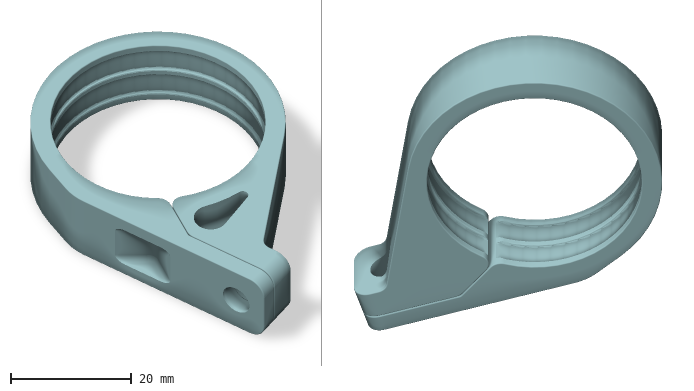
import cadquery as cq
import math

HEIGHT = 12.7
MID_HEIGHT = HEIGHT / 2

RING_RADIUS = 21.15
BORE_RADIUS = 17.8

ARM_END_X = 35.9
ARM_BOTTOM_Y = -22.3
EAR_TOP_Y = -14.25
FLANK_ANGLE = math.radians(25.6)
FLANK_BLEND_RADIUS = 2.0
HEEL_RADIUS = 10.0
EAR_CORNER_RADIUS = 2.95
SCREW_HOLE_DIAMETER = 5.25
SCREW_HOLE_INSET = 5.55
SCREW_HOLE_X = ARM_END_X - SCREW_HOLE_INSET

SLOT_GAP = 0.1
SLOT_Y = -19.2
SLOT_BEND_X = 18.9
SLOT_SLOPE = math.radians(34.0)
LOWER_BEND_RADIUS = 1.0
UPPER_BEND_RADIUS = 2.85
LOWER_LIP_RADIUS = 2.3
UPPER_LIP_RADIUS = 2.0

EDGE_RADIUS = 0.2

RIB_WIDTH = 1.25
LIP_WIDTH = 1.55
GROOVE_FILLET_RADIUS = 0.255

POCKET_DEPTH = 5.0
POCKET_FLOOR_RADIUS = 0.85
POCKET_INNER_RADIUS = 21.3
POCKET_BIG_RADIUS = 2.8
POCKET_TIP_RADIUS = 0.9
POCKET_BIG_ANGLE = math.radians(-35.2)
POCKET_TIP_ANGLE = math.radians(-17.2)

NOTCH_X = 11.75
NOTCH_WIDTH = 10.95
NOTCH_HEIGHT = 8.0
NOTCH_SLOPE = math.radians(34.5)
NOTCH_ROOT_RADIUS = 1.95
NOTCH_EDGE_RADIUS = 1.15

OVERCUT = 2.85


def on_circle(radius, angle, center=(0, 0)):
    """Point on a circle at an angle from +X."""
    return (center[0] + radius * math.cos(angle), center[1] + radius * math.sin(angle))


def make_blank():
    """Ring and arm as one plate, before the bore and the slot."""
    heel_center = (0, ARM_BOTTOM_Y + HEEL_RADIUS)
    heel_turn = math.acos((RING_RADIUS - HEEL_RADIUS) / -heel_center[1])
    heel_angle = -math.pi / 2 - heel_turn
    heel_mid_angle = -math.pi / 2 - heel_turn / 2
    flank_start = on_circle(RING_RADIUS, FLANK_ANGLE)
    flank_end_x = (RING_RADIUS - EAR_TOP_Y * math.sin(FLANK_ANGLE)) / math.cos(FLANK_ANGLE)
    blank = (
        cq.Workplane("XY")
        .moveTo(*flank_start)
        .threePointArc((-RING_RADIUS, 0), on_circle(RING_RADIUS, heel_angle))
        .lineTo(*on_circle(HEEL_RADIUS, heel_angle, heel_center))
        .threePointArc(on_circle(HEEL_RADIUS, heel_mid_angle, heel_center), (0, ARM_BOTTOM_Y))
        .lineTo(ARM_END_X, ARM_BOTTOM_Y)
        .lineTo(ARM_END_X, EAR_TOP_Y)
        .lineTo(flank_end_x, EAR_TOP_Y)
        .close()
        .extrude(HEIGHT)
    )
    flank_corner = cq.NearestToPointSelector((flank_end_x, EAR_TOP_Y, MID_HEIGHT))
    blank = blank.edges(flank_corner).fillet(FLANK_BLEND_RADIUS)
    return blank.faces(">X").edges("|Y").fillet(EAR_CORNER_RADIUS)


def slot_side(offset):
    """Bend point of one slot side, and the point where it meets the bore."""
    bend = (SLOT_BEND_X + offset * math.tan(SLOT_SLOPE / 2), SLOT_Y + offset)
    along = bend[0] * math.cos(SLOT_SLOPE) - bend[1] * math.sin(SLOT_SLOPE)
    across = bend[0] * math.sin(SLOT_SLOPE) + bend[1] * math.cos(SLOT_SLOPE)
    run = along - math.sqrt(BORE_RADIUS**2 - across**2)
    mouth = (bend[0] - run * math.cos(SLOT_SLOPE), bend[1] + run * math.sin(SLOT_SLOPE))
    return bend, mouth


def open_ring(body):
    """Cut the bore and the slot, and round the lips where they meet."""
    lower_bend, lower_mouth = slot_side(-SLOT_GAP / 2)
    upper_bend, upper_mouth = slot_side(SLOT_GAP / 2)
    inside = on_circle(BORE_RADIUS / 2, math.atan2(lower_mouth[1], lower_mouth[0]))
    slot = (
        cq.Workplane("XY")
        .polyline([
            (ARM_END_X + OVERCUT, lower_bend[1]),
            lower_bend,
            lower_mouth,
            inside,
            upper_mouth,
            upper_bend,
            (ARM_END_X + OVERCUT, upper_bend[1]),
        ])
        .close()
        .extrude(HEIGHT)
    )
    bore = cq.Workplane("XY").circle(BORE_RADIUS).extrude(HEIGHT)
    body = body.cut(bore).cut(slot)
    corners = [
        (lower_bend, LOWER_BEND_RADIUS),
        (upper_bend, UPPER_BEND_RADIUS),
        (lower_mouth, LOWER_LIP_RADIUS),
        (upper_mouth, UPPER_LIP_RADIUS),
    ]
    for (x, y), radius in corners:
        body = body.edges(cq.NearestToPointSelector((x, y, MID_HEIGHT))).fillet(radius)
    return body


def round_outer_edges(body):
    """Round the rims of the top and bottom faces and of both ear ends."""
    return body.faces("|Z").edges("not |Y").fillet(EDGE_RADIUS)


def groove(bottom):
    """Revolved cutter for one bore groove; each side is a rounded edge running into a round corner."""
    top = bottom + MID_HEIGHT - RIB_WIDTH / 2 - LIP_WIDTH
    radius = GROOVE_FILLET_RADIUS
    middle = BORE_RADIUS + radius
    floor = BORE_RADIUS + 2 * radius
    return (
        cq.Workplane("XZ")
        .moveTo(BORE_RADIUS - OVERCUT, bottom - radius)
        .lineTo(BORE_RADIUS, bottom - radius)
        .radiusArc((middle, bottom), radius)
        .radiusArc((floor, bottom + radius), -radius)
        .lineTo(floor, top - radius)
        .radiusArc((middle, top), -radius)
        .radiusArc((BORE_RADIUS, top + radius), radius)
        .lineTo(BORE_RADIUS - OVERCUT, top + radius)
        .close()
        .revolve(360, (0, 0, 0), (0, 1, 0))
    )


def pocket():
    """Teardrop cutter with a rounded floor."""
    big = on_circle(POCKET_INNER_RADIUS + POCKET_BIG_RADIUS, POCKET_BIG_ANGLE)
    tip = on_circle(POCKET_INNER_RADIUS + POCKET_TIP_RADIUS, POCKET_TIP_ANGLE)
    span = math.dist(big, tip)
    side_angle = math.atan2(tip[1] - big[1], tip[0] - big[0])
    side_angle -= math.acos((POCKET_BIG_RADIUS - POCKET_TIP_RADIUS) / span)
    inner_start = on_circle(POCKET_INNER_RADIUS, POCKET_TIP_ANGLE)
    inner_end = on_circle(POCKET_INNER_RADIUS, POCKET_BIG_ANGLE)
    inner_mid_angle = (POCKET_BIG_ANGLE + POCKET_TIP_ANGLE) / 2
    big_mid_angle = (POCKET_BIG_ANGLE - math.pi + side_angle) / 2
    tip_mid_angle = (POCKET_TIP_ANGLE + math.pi + side_angle) / 2
    return (
        cq.Workplane("XY", origin=(0, 0, HEIGHT - POCKET_DEPTH))
        .moveTo(*on_circle(POCKET_TIP_RADIUS, side_angle, tip))
        .threePointArc(on_circle(POCKET_TIP_RADIUS, tip_mid_angle, tip), inner_start)
        .threePointArc(on_circle(POCKET_INNER_RADIUS, inner_mid_angle), inner_end)
        .threePointArc(
            on_circle(POCKET_BIG_RADIUS, big_mid_angle, big),
            on_circle(POCKET_BIG_RADIUS, side_angle, big),
        )
        .close()
        .extrude(POCKET_DEPTH)
        .faces("<Z")
        .edges()
        .fillet(POCKET_FLOOR_RADIUS)
    )


def notch():
    """V-shaped cutter with a rounded root and rounded long edges."""
    half_width = NOTCH_WIDTH / 2 + OVERCUT / math.tan(NOTCH_SLOPE)
    root_y = ARM_BOTTOM_Y + NOTCH_WIDTH / 2 * math.tan(NOTCH_SLOPE)
    wedge = (
        cq.Workplane("XY", origin=(NOTCH_X, 0, MID_HEIGHT))
        .polyline([
            (-half_width, ARM_BOTTOM_Y - OVERCUT),
            (half_width, ARM_BOTTOM_Y - OVERCUT),
            (0, root_y),
        ])
        .close()
        .extrude(NOTCH_HEIGHT / 2, both=True)
    )
    wedge = wedge.edges("|Z and >Y").fillet(NOTCH_ROOT_RADIUS)
    return wedge.faces("|Z").edges("not <Y").fillet(NOTCH_EDGE_RADIUS)


def screw_hole():
    """Cutter through both ears along Y."""
    return (
        cq.Workplane("XZ", origin=(SCREW_HOLE_X, 0, MID_HEIGHT))
        .circle(SCREW_HOLE_DIAMETER / 2)
        .extrude(-ARM_BOTTOM_Y + OVERCUT)
    )


result = round_outer_edges(open_ring(make_blank()))
for groove_bottom in (LIP_WIDTH, MID_HEIGHT + RIB_WIDTH / 2):
    result = result.cut(groove(groove_bottom))
result = result.cut(pocket()).cut(notch()).cut(screw_hole())